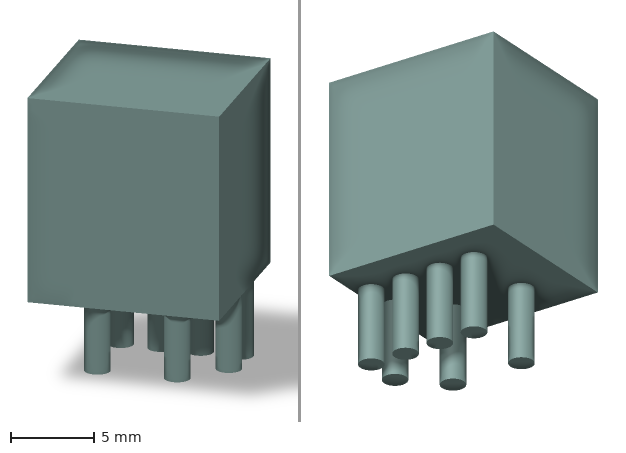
import cadquery as cq

housing_length = 12.0
housing_width = 11.0
housing_height = 13.0

pin_diameter = 1.6
pin_length = 5.0
pin_pitch = 2.5

pin_columns_by_row = {
    1: (-1, 0, 1, 2),
    0: (2,),
    -1: (-1, 1),
}


def make_housing():
    return cq.Workplane("XY").box(
        housing_length, housing_width, housing_height, centered=(True, True, False)
    )


def make_pin(x, y):
    """One lead whose top face touches the underside of the housing."""
    return cq.Workplane("XY").center(x, y).circle(pin_diameter / 2).extrude(-pin_length)


housing = make_housing()

pins = []
for row, columns in pin_columns_by_row.items():
    for column in columns:
        pins.append(make_pin(column * pin_pitch, row * pin_pitch))

result = cq.Compound.makeCompound([housing.val(), *[pin.val() for pin in pins]])